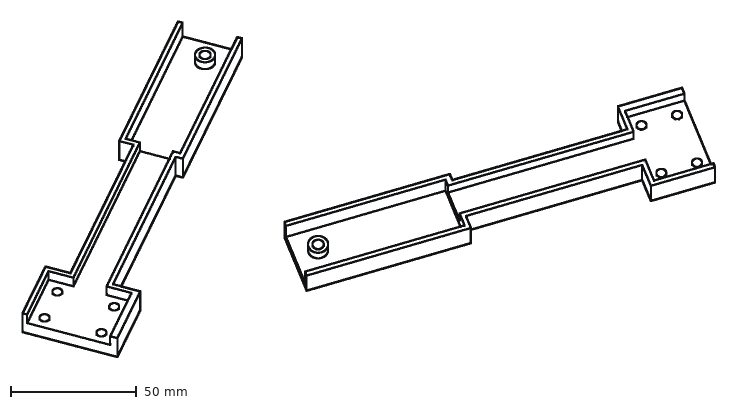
import cadquery as cq

length = 170.0
height = 11.0
wall = 2.0

head_width = 40.0
head_length = 27.0
head_right_wall = 3.0
head_pocket_width = head_width - wall - head_right_wall
center_x = wall + head_pocket_width / 2
floor_height = 6.0

neck_width = 18.0

tail_left = 4.5
tail_right = 31.5
tail_left_start = 101.0
tail_right_start = 100.5
tail_pocket_start = tail_left_start + wall
tail_floor_height = 3.0

mount_hole_diameter = 4.0
mount_spacing_x = 24.0
mount_spacing_y = 15.0
mount_first_y = 5.0

boss_diameter = 8.0
boss_hole_diameter = 4.5
boss_top = 7.0
boss_end_distance = 10.0


def block(left, right, start, end, bottom, top):
    """Box given by its limits along X, Y and Z."""
    size = (right - left, end - start, top - bottom)
    return cq.Workplane("XY").box(*size, centered=False).translate((left, start, bottom))


def cylinder(x, y, diameter, bottom, top):
    """Upright cylinder between two heights."""
    return cq.Workplane("XY", origin=(x, y, bottom)).circle(diameter / 2).extrude(top - bottom)


def make_body():
    """Full-height solid with the outer outline of head, neck and tail."""
    neck_left = center_x - neck_width / 2
    neck_right = center_x + neck_width / 2
    outline = [
        (0, 0),
        (head_width, 0),
        (head_width, head_length),
        (neck_right, head_length),
        (neck_right, tail_right_start),
        (tail_right, tail_right_start),
        (tail_right, length),
        (tail_left, length),
        (tail_left, tail_left_start),
        (neck_left, tail_left_start),
        (neck_left, head_length),
        (0, head_length),
    ]
    return cq.Workplane("XY").polyline(outline).close().extrude(height)


def make_channel():
    """Space inside the walls, open at both ends of the part."""
    half_neck = neck_width / 2 - wall
    head = block(wall, head_width - head_right_wall, 0, head_length - wall, floor_height, height)
    neck = block(center_x - half_neck, center_x + half_neck, 0, tail_pocket_start, floor_height, height)
    tail = block(tail_left + wall, tail_right - wall, tail_pocket_start, length, tail_floor_height, height)
    return head.union(neck).union(tail)


def make_mount_holes():
    """Two columns of two through holes, centred across the head pocket."""
    left_column = center_x - mount_spacing_x / 2
    holes = cq.Workplane("XY")
    for x in (left_column, left_column + mount_spacing_x):
        for y in (mount_first_y, mount_first_y + mount_spacing_y):
            holes = holes.add(cylinder(x, y, mount_hole_diameter, 0, height))
    return holes.combine()


boss_y = length - boss_end_distance
boss = cylinder(center_x, boss_y, boss_diameter, tail_floor_height, boss_top)
boss_hole = cylinder(center_x, boss_y, boss_hole_diameter, 0, boss_top)

result = make_body().cut(make_channel()).cut(make_mount_holes()).union(boss).cut(boss_hole)